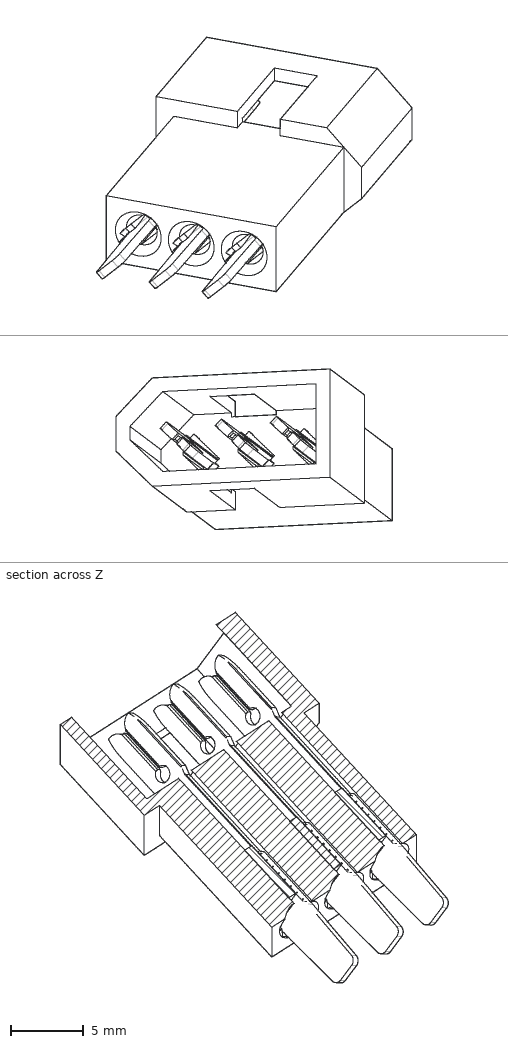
import cadquery as cq


LENGTH = 27.82
SLEEVE_WIDTH = 15.25
SLEEVE_HEIGHT = 7.62
SLEEVE_FRONT = 18.3
SLEEVE_CHAMFER = 2.6
SLEEVE_WALL = 1.0
CAVITY_CHAMFER = 2.35
BLOCK_FRONT = 5.6
BLOCK_WIDTH = 12.6
BLOCK_HEIGHT = 5.05
BLOCK_REAR = SLEEVE_FRONT + SLEEVE_WALL
WINDOW_WIDTH = 3.17
WINDOW_REAR = 25.25

PIN_PITCH = 3.92
PIN_COUNT = 3
PIN_TILT = 45.0
FUNNEL_FRONT_RADIUS = 1.7
FUNNEL_REAR_RADIUS = 1.15
FUNNEL_DEPTH = 0.67
SLOT_WIDTH = 3.28
SLOT_THICKNESS = 0.72
RELIEF_WIDTH = 1.9
RELIEF_THICKNESS = 1.55
KEYWAY_WIDTH = 2.55

BLADE_THICKNESS = 0.6
TIP_HALF_WIDTH = 1.17
TIP_FILLET = 0.5
FRONT_HALF_WIDTH = 1.4
REAR_HALF_WIDTH = 1.45
NECK_HALF_WIDTH = 1.2
NECK_FRONT = 11.13
NECK_REAR = 19.35
SHOULDER_REAR = 20.03
FORK_TAPER_START = 24.18
FORK_END = 25.75
FORK_TIP_HALF_WIDTH = 1.22
FORK_FLAT_INNER = 1.05
SLIT_HALF_WIDTH = 0.242
SLIT_MOUTH = 25.15
SLIT_CHAMFER = 0.15
LEAD_IN_BULGE = -0.15
FORK_HOLE_DIAMETER = 1.2
FORK_HOLE_Y = 20.75

STOP_FRONT = 6.82
STOP_LENGTH = 5.0
STOP_HEIGHT = 0.47
STOP_HALF_WIDTH = 1.28
RAMP_HALF_WIDTH = 0.72
RAMP_SAG = -0.15

PIN_POSITIONS = [(i - (PIN_COUNT - 1) / 2) * PIN_PITCH for i in range(PIN_COUNT)]


def box(x_range, y_range, z_range):
    sizes = [end - start for start, end in (x_range, y_range, z_range)]
    corner = (x_range[0], y_range[0], z_range[0])
    return cq.Workplane("XY").box(*sizes, centered=False).translate(corner)


def sleeve_profile(inset, chamfer, y):
    """Rectangle moved inwards by the inset, with both +X corners chamfered, at the given Y."""
    half_width = SLEEVE_WIDTH / 2 - inset
    half_height = SLEEVE_HEIGHT / 2 - inset
    outline = [
        (-half_width, -half_height),
        (half_width - chamfer, -half_height),
        (half_width, -half_height + chamfer),
        (half_width, half_height - chamfer),
        (half_width - chamfer, half_height),
        (-half_width, half_height),
    ]
    return cq.Workplane("XZ", origin=(0, y, 0)).polyline(outline).close()


def pin_passage():
    """Funnel, blade slot, relief and keyway that make one opening through the block."""
    funnel = cq.Workplane(
        cq.Solid.makeCone(
            FUNNEL_FRONT_RADIUS,
            FUNNEL_REAR_RADIUS,
            FUNNEL_DEPTH,
            cq.Vector(0, BLOCK_FRONT, 0),
            cq.Vector(0, 1, 0),
        )
    )
    depth = (BLOCK_FRONT, BLOCK_REAR)
    slot = box((-SLOT_WIDTH / 2, SLOT_WIDTH / 2), depth, (-SLOT_THICKNESS / 2, SLOT_THICKNESS / 2))
    relief = box(
        (-RELIEF_WIDTH / 2, RELIEF_WIDTH / 2), depth, (-RELIEF_THICKNESS / 2, RELIEF_THICKNESS / 2)
    )
    bore = cq.Workplane("XZ").circle(FUNNEL_REAR_RADIUS).extrude(-LENGTH)
    keyway = box((-KEYWAY_WIDTH / 2, KEYWAY_WIDTH / 2), depth, (0, RELIEF_THICKNESS / 2))
    return funnel.union(slot).union(relief.intersect(bore)).union(keyway)


def tilt_and_place(shape, x):
    return shape.rotate((0, 0, 0), (0, 1, 0), -PIN_TILT).translate((x, 0, 0))


def make_housing():
    block = box(
        (-BLOCK_WIDTH / 2, BLOCK_WIDTH / 2),
        (BLOCK_FRONT, BLOCK_REAR),
        (-BLOCK_HEIGHT / 2, BLOCK_HEIGHT / 2),
    )
    sleeve = sleeve_profile(0, SLEEVE_CHAMFER, SLEEVE_FRONT).extrude(SLEEVE_FRONT - LENGTH)
    cavity = sleeve_profile(SLEEVE_WALL, CAVITY_CHAMFER, BLOCK_REAR).extrude(BLOCK_REAR - LENGTH)
    window = box(
        (-WINDOW_WIDTH / 2, WINDOW_WIDTH / 2),
        (SLEEVE_FRONT, WINDOW_REAR),
        (-SLEEVE_HEIGHT / 2, SLEEVE_HEIGHT / 2),
    )
    housing = sleeve.cut(cavity).cut(window).union(block)
    for x in PIN_POSITIONS:
        housing = housing.cut(tilt_and_place(pin_passage(), x))
    return housing


def half_blade():
    """The +X half of the blade, up to the middle of the slit."""
    return (
        cq.Workplane("XY", origin=(0, 0, -BLADE_THICKNESS / 2))
        .lineTo(TIP_HALF_WIDTH, 0)
        .lineTo(FRONT_HALF_WIDTH, BLOCK_FRONT)
        .lineTo(FRONT_HALF_WIDTH, NECK_FRONT)
        .lineTo(NECK_HALF_WIDTH, NECK_FRONT)
        .lineTo(NECK_HALF_WIDTH, NECK_REAR)
        .lineTo(REAR_HALF_WIDTH, SHOULDER_REAR)
        .lineTo(REAR_HALF_WIDTH, FORK_TAPER_START)
        .tangentArcPoint((FORK_TIP_HALF_WIDTH, FORK_END), relative=False)
        .lineTo(FORK_FLAT_INNER, FORK_END)
        .sagittaArc((SLIT_HALF_WIDTH, SLIT_MOUTH), LEAD_IN_BULGE)
        .lineTo(0, SLIT_MOUTH)
        .close()
        .extrude(BLADE_THICKNESS)
        .edges(cq.selectors.NearestToPointSelector((TIP_HALF_WIDTH, 0, 0)))
        .fillet(TIP_FILLET)
    )


def fork_slit():
    """Slit from the hole to the mouth; its walls are chamfered at both faces of the blade."""
    half_thickness = BLADE_THICKNESS / 2
    right_side = [
        (SLIT_HALF_WIDTH, -half_thickness),
        (SLIT_HALF_WIDTH - SLIT_CHAMFER, -half_thickness + SLIT_CHAMFER),
        (SLIT_HALF_WIDTH - SLIT_CHAMFER, half_thickness - SLIT_CHAMFER),
        (SLIT_HALF_WIDTH, half_thickness),
    ]
    left_side = [(-x, z) for x, z in reversed(right_side)]
    section = cq.Workplane("XZ", origin=(0, FORK_HOLE_Y, 0)).polyline(right_side + left_side)
    return section.close().extrude(FORK_HOLE_Y - FORK_END)


def make_blade():
    half = half_blade()
    hole = (
        cq.Workplane("XY", origin=(0, FORK_HOLE_Y, -BLADE_THICKNESS))
        .circle(FORK_HOLE_DIAMETER / 2)
        .extrude(2 * BLADE_THICKNESS)
    )
    return half.union(half.mirror("YZ")).clean().cut(fork_slit()).cut(hole)


def make_stop():
    bottom = BLADE_THICKNESS / 2
    top = bottom + STOP_HEIGHT
    rear = STOP_FRONT + STOP_LENGTH
    stop = box((-STOP_HALF_WIDTH, STOP_HALF_WIDTH), (STOP_FRONT, rear), (bottom, top))
    channel = (
        cq.Workplane("YZ", origin=(-RAMP_HALF_WIDTH, 0, 0))
        .moveTo(STOP_FRONT, bottom)
        .sagittaArc((rear, top), RAMP_SAG)
        .lineTo(STOP_FRONT, top)
        .close()
        .extrude(2 * RAMP_HALF_WIDTH)
    )
    return stop.cut(channel)


def make_pin(x):
    return tilt_and_place(make_blade().union(make_stop()), x)


pins = [make_pin(x) for x in PIN_POSITIONS]
housing = make_housing()

result = cq.Compound.makeCompound([housing.val(), *[pin.val() for pin in pins]])